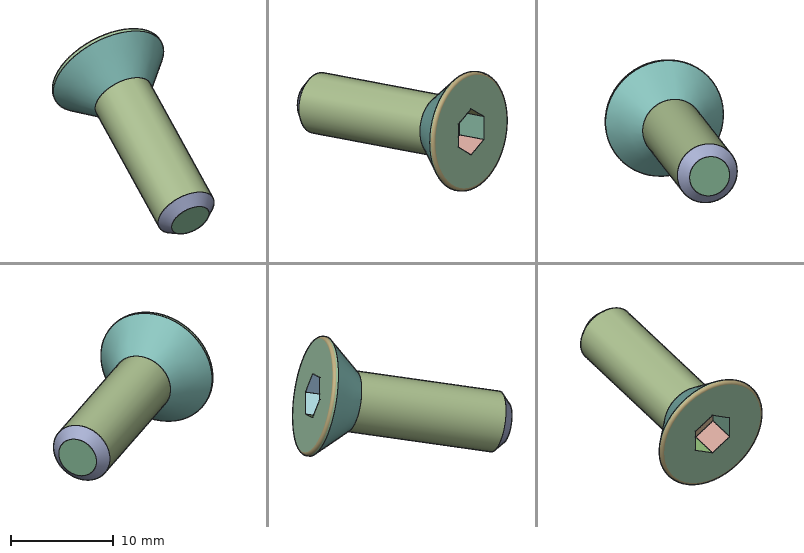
import cadquery as cq

length = 20.0
head_diameter = 11.8
head_height = 4.0
rim_width = 0.5
rim_fillet = 0.3
shank_diameter = 6.0
tip_chamfer = 1.0
socket_across_flats = 4.0
socket_depth = 3.0

head_radius = head_diameter / 2
shank_radius = shank_diameter / 2


def make_body():
    """Revolve the half outline of head and shank about the X axis."""
    outline = (
        cq.Workplane("XY")
        .moveTo(0, 0)
        .lineTo(0, head_radius - rim_fillet)
        .radiusArc((rim_fillet, head_radius), rim_fillet)
        .lineTo(rim_width, head_radius)
        .lineTo(head_height, shank_radius)
        .lineTo(length - tip_chamfer, shank_radius)
        .lineTo(length, shank_radius - tip_chamfer)
        .lineTo(length, 0)
        .close()
    )
    return outline.revolve(360, (0, 0, 0), (1, 0, 0))


def make_socket():
    """Hexagonal prism with two corners pointing along +Z and -Z."""
    return (
        cq.Workplane("YZ")
        .polygon(6, socket_across_flats, circumscribed=True)
        .extrude(socket_depth)
    )


result = make_body().cut(make_socket())